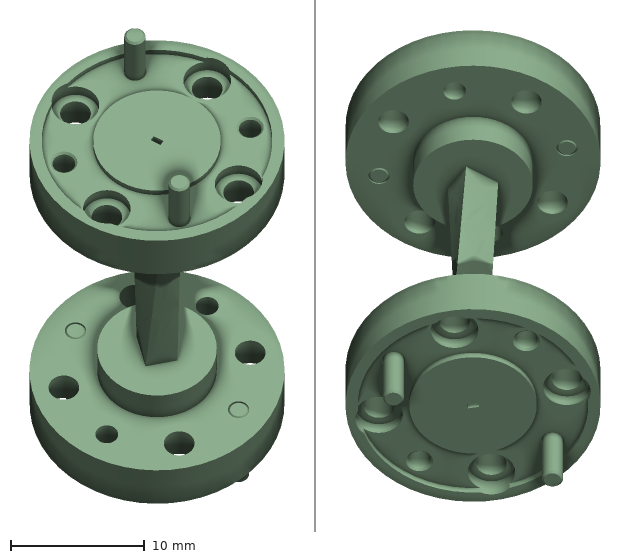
import cadquery as cq
import math

total_height = 39.5
twist_angle = 45.0

flange_diameter = 19.05
flange_thickness = 4.03
hub_diameter = 8.93
hub_height = 2.6
boss_diameter = flange_diameter / 2
recess_diameter = 17.22
recess_depth = 0.5

bolt_circle_radius = 7.15
screw_hole_diameter = 2.3
counterbore_diameter = 3.55
counterbore_depth = 1.0
guide_hole_diameter = 1.7
guide_hole_chamfer = 0.15
pin_hole_chamfer = 0.08
screw_angles = [0, 90, 180, 270]
guide_angles = [45, 225]
pin_angles = [135, 315]

pin_diameter = 1.58
pin_chamfer = 0.15
pin_projection = 3.87
pin_length = flange_thickness + pin_projection

bore_width = 0.85
bore_height = 0.45
tube_width = 2.9
tube_height = 2.45

face_z = total_height / 2 - pin_projection
tube_end_z = face_z - flange_thickness - hub_height


def on_bolt_circle(angle):
    """X and Y of the point on the bolt circle at an angle in degrees."""
    turn = math.radians(angle)
    return bolt_circle_radius * math.cos(turn), bolt_circle_radius * math.sin(turn)


def place_at_upper_end(part):
    """Move a part from the flange frame to the upper end."""
    return part.translate((0, 0, face_z))


def place_at_lower_end(part):
    """Flip a part from the flange frame to the lower end, turned by the twist."""
    flipped = part.rotate((0, 0, 0), (1, 0, 0), 180)
    return flipped.rotate((0, 0, 0), (0, 0, 1), -twist_angle).translate((0, 0, -face_z))


def drill(diameter, angles, top_z, depth):
    """Cylinders on the bolt circle, running down from top_z."""
    points = [on_bolt_circle(angle) for angle in angles]
    return (
        cq.Workplane("XY", origin=(0, 0, top_z))
        .pushPoints(points)
        .circle(diameter / 2)
        .extrude(-depth)
    )


def cut_chamfered_holes(flange, diameter, chamfer, angles):
    """Through holes on the bolt circle, widened by a 45 degree chamfer at the recess floor."""
    radius = diameter / 2
    flange = flange.cut(drill(diameter, angles, 0, flange_thickness))
    for angle in angles:
        floor_point = cq.Vector(*on_bolt_circle(angle), -recess_depth)
        cone = cq.Solid.makeCone(radius + chamfer, radius, chamfer, floor_point, cq.Vector(0, 0, -1))
        flange = flange.cut(cq.Workplane(cone))
    return flange


def make_flange():
    """Flange with its hub, in the flange frame."""
    disc = cq.Workplane("XY").circle(flange_diameter / 2).extrude(-flange_thickness)
    hub = (
        cq.Workplane("XY", origin=(0, 0, -flange_thickness))
        .circle(hub_diameter / 2)
        .extrude(-hub_height)
    )
    recess = (
        cq.Workplane("XY")
        .circle(recess_diameter / 2)
        .circle(boss_diameter / 2)
        .extrude(-recess_depth)
    )
    flange = disc.union(hub).cut(recess)

    flange = flange.cut(drill(counterbore_diameter, screw_angles, 0, recess_depth + counterbore_depth))
    flange = flange.cut(drill(screw_hole_diameter, screw_angles, 0, flange_thickness))

    flange = cut_chamfered_holes(flange, guide_hole_diameter, guide_hole_chamfer, guide_angles)
    return cut_chamfered_holes(flange, pin_diameter, pin_hole_chamfer, pin_angles)


def make_pin(angle):
    """Pin in the flange frame, chamfered at both ends."""
    return (
        drill(pin_diameter, [angle], pin_projection, pin_length)
        .faces("<Z or >Z")
        .chamfer(pin_chamfer)
    )


def rectangle_wire(width, height, z, angle):
    """Rectangle centred on the axis at height z, turned about Z by an angle in degrees."""
    outline = cq.Wire.makePolygon(
        [
            cq.Vector(x_sign * width / 2, y_sign * height / 2, z)
            for x_sign, y_sign in [(-1, -1), (1, -1), (1, 1), (-1, 1)]
        ],
        close=True,
    )
    return outline.rotate(cq.Vector(0, 0, 0), cq.Vector(0, 0, 1), angle)


def make_twist(width, height):
    """Bar between the two hubs whose rectangle turns from end to end."""
    lower = rectangle_wire(width, height, -tube_end_z, -twist_angle)
    upper = rectangle_wire(width, height, tube_end_z, 0)
    return cq.Workplane(cq.Solid.makeLoft([lower, upper], True))


def make_waveguide():
    """Both flanges, the twisted tube, and the bore running through all of them."""
    flange = make_flange()
    end_length = flange_thickness + hub_height
    straight_bore = cq.Workplane("XY").rect(bore_width, bore_height).extrude(-end_length)
    body = make_twist(tube_width, tube_height)
    for place in [place_at_upper_end, place_at_lower_end]:
        body = body.union(place(flange)).cut(place(straight_bore))
    return body.cut(make_twist(bore_width, bore_height))


waveguide = make_waveguide()
pins = [
    place(make_pin(angle)).val()
    for place in [place_at_upper_end, place_at_lower_end]
    for angle in pin_angles
]

result = cq.Compound.makeCompound([waveguide.val(), *pins])